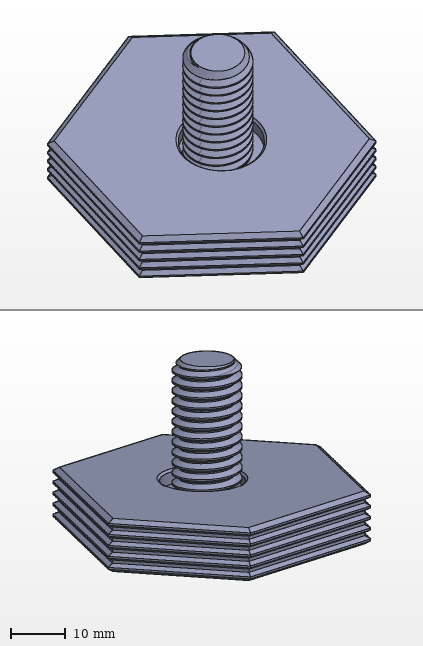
import cadquery as cq
import math


LEFT_CORNER = (-33.3, 1.95)
RIGHT_CORNER = (29.05, -0.05)
BACK_SIDE_Y = 25.0
FRONT_SIDE_Y = -26.0
SIDE_ANGLE = math.radians(60)

RIB_COUNT = 5
RIB_TIP_HEIGHT = 0.4
RIB_BEVEL_HEIGHT = 0.55
VALLEY_HEIGHT = 0.605
VALLEY_DEPTH = 0.95
EDGE_BEVEL_HEIGHT = 0.7
EDGE_BEVEL_DEPTH = 1.05
RIB_PITCH = RIB_TIP_HEIGHT + 2 * RIB_BEVEL_HEIGHT + VALLEY_HEIGHT
PLATE_HEIGHT = 2 * EDGE_BEVEL_HEIGHT + (RIB_COUNT - 1) * RIB_PITCH + RIB_TIP_HEIGHT

POCKET_CENTER = (-0.4, 1.0)
POCKET_RADIUS = 7.85
POCKET_CHAMFER = 0.45
POCKET_DEPTH = 2.8
POCKET_FLOOR_Z = PLATE_HEIGHT - POCKET_DEPTH

OVERALL_HEIGHT = 32.8
STUD_HEIGHT = OVERALL_HEIGHT - POCKET_FLOOR_Z
STUD_RADIUS = 6.4
STUD_CHAMFER = 1.5
THREAD_PITCH = 1.96
THREAD_ROOT_RADIUS = 5.1
THREAD_CREST_WIDTH = 0.3
THREAD_ROOT_WIDTH = 0.25
GROOVE_END_ANGLE = -65
GROOVE_OVERCUT = 0.3


def hexagon(inset, z):
    """Closed wire of the plate outline, moved inwards by `inset`, at height `z`."""
    corner_shift = inset / math.sin(SIDE_ANGLE)
    left_x = LEFT_CORNER[0] + corner_shift
    right_x = RIGHT_CORNER[0] - corner_shift
    back_y = BACK_SIDE_Y - inset
    front_y = FRONT_SIDE_Y + inset
    slope = math.tan(SIDE_ANGLE)
    corners = [
        (left_x, LEFT_CORNER[1]),
        (left_x + (LEFT_CORNER[1] - front_y) / slope, front_y),
        (right_x - (RIGHT_CORNER[1] - front_y) / slope, front_y),
        (right_x, RIGHT_CORNER[1]),
        (right_x - (back_y - RIGHT_CORNER[1]) / slope, back_y),
        (left_x + (back_y - LEFT_CORNER[1]) / slope, back_y),
    ]
    return cq.Wire.makePolygon([cq.Vector(x, y, z) for x, y in corners], close=True)


def make_plate():
    """Hexagonal plate with a ribbed rim and a chamfered round pocket."""
    sections = [hexagon(EDGE_BEVEL_DEPTH, 0)]
    for rib in range(RIB_COUNT):
        tip_bottom = EDGE_BEVEL_HEIGHT + rib * RIB_PITCH
        tip_top = tip_bottom + RIB_TIP_HEIGHT
        if rib > 0:
            sections.append(hexagon(VALLEY_DEPTH, tip_bottom - RIB_BEVEL_HEIGHT))
        sections.append(hexagon(0, tip_bottom))
        sections.append(hexagon(0, tip_top))
        if rib < RIB_COUNT - 1:
            sections.append(hexagon(VALLEY_DEPTH, tip_top + RIB_BEVEL_HEIGHT))
    sections.append(hexagon(EDGE_BEVEL_DEPTH, PLATE_HEIGHT))
    body = cq.Workplane(cq.Solid.makeLoft(sections, True))
    pocket = (
        cq.Workplane("XY", origin=(*POCKET_CENTER, POCKET_FLOOR_Z))
        .circle(POCKET_RADIUS)
        .extrude(POCKET_DEPTH)
    )
    rim = cq.Workplane(
        cq.Solid.makeCone(
            POCKET_RADIUS,
            POCKET_RADIUS + POCKET_CHAMFER,
            POCKET_CHAMFER,
            cq.Vector(*POCKET_CENTER, PLATE_HEIGHT - POCKET_CHAMFER),
        )
    )
    return body.cut(pocket).cut(rim)


def make_groove_turn():
    """One right-handed turn of the thread groove, starting on the +X side at Z = 0."""
    helix = cq.Wire.makeHelix(THREAD_PITCH, THREAD_PITCH, STUD_RADIUS)
    root_half = THREAD_ROOT_WIDTH / 2
    mouth_half = (THREAD_PITCH - THREAD_CREST_WIDTH) / 2
    flank_slope = (mouth_half - root_half) / (STUD_RADIUS - THREAD_ROOT_RADIUS)
    outer_radius = STUD_RADIUS + GROOVE_OVERCUT
    outer_half = mouth_half + GROOVE_OVERCUT * flank_slope
    return (
        cq.Workplane("XZ")
        .polyline(
            [
                (THREAD_ROOT_RADIUS, -root_half),
                (outer_radius, -outer_half),
                (outer_radius, outer_half),
                (THREAD_ROOT_RADIUS, root_half),
            ]
        )
        .close()
        .sweep(cq.Workplane(helix), isFrenet=True)
        .rotate((0, 0, 0), (0, 0, 1), GROOVE_END_ANGLE)
    )


def make_stud():
    """Stud with a chamfered top, threaded over its whole length."""
    stud = (
        cq.Workplane("XY", origin=(0, 0, POCKET_FLOOR_Z))
        .circle(STUD_RADIUS)
        .extrude(STUD_HEIGHT)
        .faces(">Z")
        .chamfer(STUD_CHAMFER)
    )
    groove_turn = make_groove_turn()
    turn_count = math.ceil(STUD_HEIGHT / THREAD_PITCH) + 1
    for turn in range(1, turn_count + 1):
        turn_z = OVERALL_HEIGHT - turn * THREAD_PITCH
        stud = stud.cut(groove_turn.translate((0, 0, turn_z)), clean=False)
    return stud


plate = make_plate()
stud = make_stud()
result = cq.Compound.makeCompound([plate.solids().val(), stud.solids().val()])